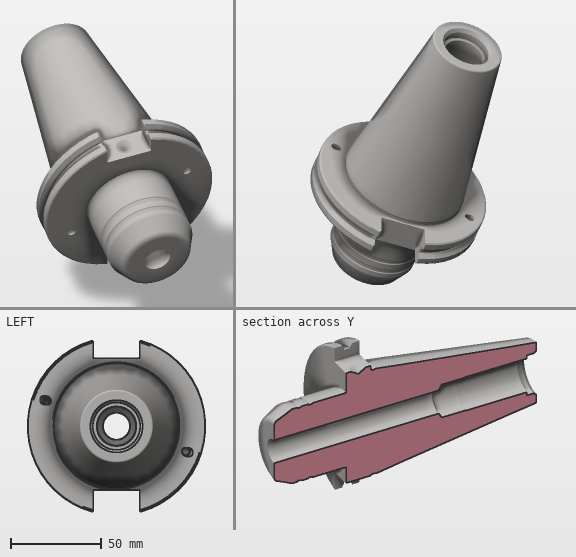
import cadquery as cq
import math


GAUGE_DIAMETER = 69.85
TAPER_LENGTH = 101.6
TAPER_RATE = 7 / 24
TAPER_END_FILLET = 1.0
NECK_DIAMETER = 69.25
NECK_START = 1.0
NECK_FILLET = 0.8

FLANGE_DIAMETER = 98.43
FLANGE_START = 3.175
FLANGE_END = 19.05
FLANGE_FILLET = 1.0
GROOVE_CENTER = 11.1
GROOVE_FLOOR_DIAMETER = 91.2
GROOVE_FLOOR_WIDTH = 4.0
GROOVE_HALF_ANGLE = 30
GROOVE_WALL_HEIGHT = 0.9

SLOT_WIDTH = 25.7
SLOT_CORNER_FILLET = 0.5
SLOT_EDGE_CHAMFER = 0.6
UPPER_SLOT_FLOOR = 37.7
LOWER_SLOT_FLOOR = 35.3
DIMPLE_DIAMETER = 9.53
DRILL_POINT_ANGLE = 118

SHANK_DIAMETER = 49.5
SHANK_END = 64.5
SHANK_ROOT_LENGTH = 1.0
SHANK_ROOT_RISE = 0.2
RING_DIAMETER = 48.5
RING_STARTS = (39.7, 46.7)
RING_WIDTH = 3.4
RING_WALL_RADIUS = 0.5
NOSE_START = 53.1
NOSE_HALF_ANGLE = 25.5
NOSE_EDGE_FILLET = 2.0
NOSE_FILLET = 3.5

THROUGH_DIAMETER = 14.92
THREAD_BORE_DIAMETER = 21.97
THREAD_BORE_DEPTH = 45.0
INNER_BORE_DIAMETER = 21.5
INNER_BORE_DEPTH = 60.0
COUNTERBORE_DIAMETER = 26.2
COUNTERBORE_DEPTH = 6.0
MOUTH_DIAMETER = 29.0
MOUTH_CONE_LENGTH = 2.0

COOLANT_DIAMETER = 4.13
COOLANT_MOUTH_DIAMETER = 5.0
COOLANT_STEP_DEPTH = 3.6
COOLANT_RADIUS = 42.2
COOLANT_POSITION_ANGLE = 20
COOLANT_TILT = 21

CLEARANCE = 5.0


def tan_deg(angle):
    return math.tan(math.radians(angle))


def revolve_about_x(points):
    """Solid of revolution from (x, radius) points."""
    return cq.Workplane("XY").polyline(points).close().revolve(360, (0, 0, 0), (1, 0, 0))


def arc_middle(center, radius, angle):
    """Point on a circle at the given angle in degrees from +X."""
    turn = math.radians(angle)
    return (center[0] + radius * math.cos(turn), center[1] + radius * math.sin(turn))


def make_taper():
    gauge_radius = GAUGE_DIAMETER / 2
    end_radius = gauge_radius - TAPER_LENGTH * TAPER_RATE / 2
    neck_radius = NECK_DIAMETER / 2
    fillet_center = (FLANGE_START - NECK_FILLET, neck_radius + NECK_FILLET)
    taper = (
        cq.Workplane("XY")
        .moveTo(-TAPER_LENGTH, 0)
        .lineTo(-TAPER_LENGTH, end_radius)
        .lineTo(0, gauge_radius)
        .lineTo(NECK_START, neck_radius)
        .lineTo(fillet_center[0], neck_radius)
        .threePointArc(
            arc_middle(fillet_center, NECK_FILLET, -45), (FLANGE_START, fillet_center[1])
        )
        .lineTo(FLANGE_START, 0)
        .close()
        .revolve(360, (0, 0, 0), (1, 0, 0))
    )
    return taper.faces("<X").edges().fillet(TAPER_END_FILLET)


def make_flange():
    radius = FLANGE_DIAMETER / 2
    shoulder = radius - FLANGE_FILLET
    front_center = (FLANGE_START + FLANGE_FILLET, shoulder)
    back_center = (FLANGE_END - FLANGE_FILLET, shoulder)
    floor_radius = GROOVE_FLOOR_DIAMETER / 2
    wall_top = floor_radius + GROOVE_WALL_HEIGHT
    half_floor = GROOVE_FLOOR_WIDTH / 2
    half_mouth = half_floor + (radius - wall_top) * tan_deg(GROOVE_HALF_ANGLE)
    return (
        cq.Workplane("XY")
        .moveTo(FLANGE_START, 0)
        .lineTo(FLANGE_START, shoulder)
        .threePointArc(arc_middle(front_center, FLANGE_FILLET, 135), (front_center[0], radius))
        .lineTo(GROOVE_CENTER - half_mouth, radius)
        .lineTo(GROOVE_CENTER - half_floor, wall_top)
        .lineTo(GROOVE_CENTER - half_floor, floor_radius)
        .lineTo(GROOVE_CENTER + half_floor, floor_radius)
        .lineTo(GROOVE_CENTER + half_floor, wall_top)
        .lineTo(GROOVE_CENTER + half_mouth, radius)
        .lineTo(back_center[0], radius)
        .threePointArc(arc_middle(back_center, FLANGE_FILLET, 45), (FLANGE_END, shoulder))
        .lineTo(FLANGE_END, 0)
        .close()
        .revolve(360, (0, 0, 0), (1, 0, 0))
    )


def add_ring_groove(profile, start):
    """Continue a shank profile through a shallow groove with S-shaped walls."""
    radius = SHANK_DIAMETER / 2
    floor_radius = RING_DIAMETER / 2
    end = start + RING_WIDTH
    depth = radius - floor_radius
    turn = math.degrees(math.acos(1 - depth / (2 * RING_WALL_RADIUS)))
    half_run = RING_WALL_RADIUS * math.sin(math.radians(turn))
    middle_radius = (radius + floor_radius) / 2
    convex_center = radius - RING_WALL_RADIUS
    concave_center = floor_radius + RING_WALL_RADIUS
    floor_start = start + 2 * half_run
    floor_end = end - 2 * half_run

    profile = profile.lineTo(start, radius)
    profile = profile.threePointArc(
        arc_middle((start, convex_center), RING_WALL_RADIUS, 90 - turn / 2),
        (start + half_run, middle_radius),
    )
    profile = profile.threePointArc(
        arc_middle((floor_start, concave_center), RING_WALL_RADIUS, -90 - turn / 2),
        (floor_start, floor_radius),
    )
    profile = profile.lineTo(floor_end, floor_radius)
    profile = profile.threePointArc(
        arc_middle((floor_end, concave_center), RING_WALL_RADIUS, -90 + turn / 2),
        (end - half_run, middle_radius),
    )
    return profile.threePointArc(
        arc_middle((end, convex_center), RING_WALL_RADIUS, 90 + turn / 2),
        (end, radius),
    )


def make_shank():
    radius = SHANK_DIAMETER / 2
    nose_radius = radius - (SHANK_END - NOSE_START) * tan_deg(NOSE_HALF_ANGLE)
    profile = (
        cq.Workplane("XY")
        .moveTo(FLANGE_END, 0)
        .lineTo(FLANGE_END, radius + SHANK_ROOT_RISE)
        .lineTo(FLANGE_END + SHANK_ROOT_LENGTH, radius)
    )
    for start in RING_STARTS:
        profile = add_ring_groove(profile, start)
    profile = profile.lineTo(NOSE_START, radius).lineTo(SHANK_END, nose_radius).lineTo(SHANK_END, 0)
    shank = profile.close().revolve(360, (0, 0, 0), (1, 0, 0))
    nose_edge = cq.selectors.BoxSelector(
        (NOSE_START - NOSE_EDGE_FILLET, -radius, -radius),
        (NOSE_START + NOSE_EDGE_FILLET, radius, radius),
    )
    shank = shank.edges("%CIRCLE").edges(nose_edge).fillet(NOSE_EDGE_FILLET)
    return shank.faces(">X").edges().fillet(NOSE_FILLET)


def make_slot(floor, side):
    """Cutter for a drive slot above (side = 1) or below (side = -1) the axis."""
    half = SLOT_WIDTH / 2
    rim = math.sqrt((FLANGE_DIAMETER / 2) ** 2 - (half + SLOT_EDGE_CHAMFER) ** 2)
    top = rim + CLEARANCE
    length = FLANGE_END - FLANGE_START
    cutter = (
        cq.Workplane("YZ", origin=(FLANGE_START, 0, 0))
        .polyline([
            (-half, floor),
            (half, floor),
            (half, rim - SLOT_EDGE_CHAMFER),
            (half + SLOT_EDGE_CHAMFER + CLEARANCE, top),
            (-half - SLOT_EDGE_CHAMFER - CLEARANCE, top),
            (-half, rim - SLOT_EDGE_CHAMFER),
        ])
        .close()
        .extrude(length)
        .faces("<Z").edges("|X").fillet(SLOT_CORNER_FILLET)
    )
    if side < 0:
        cutter = cutter.mirror("XY")
    return cutter


def make_dimple():
    """Conical drill point in the floor of the upper slot."""
    radius = DIMPLE_DIAMETER / 2
    depth = radius / tan_deg(DRILL_POINT_ANGLE / 2)
    center_x = (FLANGE_START + FLANGE_END) / 2
    cone = cq.Solid.makeCone(0, radius, depth)
    return cq.Workplane(cone).translate((center_x, 0, UPPER_SLOT_FLOOR - depth))


def make_bore():
    through_radius = THROUGH_DIAMETER / 2
    thread_radius = THREAD_BORE_DIAMETER / 2
    counterbore_radius = COUNTERBORE_DIAMETER / 2
    thread_end = -TAPER_LENGTH + THREAD_BORE_DEPTH
    inner_radius = INNER_BORE_DIAMETER / 2
    inner_end = -TAPER_LENGTH + INNER_BORE_DEPTH
    point_length = (inner_radius - through_radius) / tan_deg(DRILL_POINT_ANGLE / 2)
    return revolve_about_x([
        (-TAPER_LENGTH, 0),
        (-TAPER_LENGTH, MOUTH_DIAMETER / 2),
        (-TAPER_LENGTH + MOUTH_CONE_LENGTH, counterbore_radius),
        (-TAPER_LENGTH + COUNTERBORE_DEPTH, counterbore_radius),
        (-TAPER_LENGTH + COUNTERBORE_DEPTH, thread_radius),
        (thread_end, thread_radius),
        (thread_end, inner_radius),
        (inner_end, inner_radius),
        (inner_end + point_length, through_radius),
        (SHANK_END, through_radius),
        (SHANK_END, 0),
    ])


def make_coolant_hole(position_angle):
    """Stepped hole leaning towards the axis, with a straight relief cut down to its step."""
    tilt = math.radians(COOLANT_TILT)
    lean = cq.Vector(math.cos(tilt), -math.sin(tilt), 0)
    mouth_center = cq.Vector(FLANGE_START, COOLANT_RADIUS, 0)
    start = mouth_center - lean * CLEARANCE
    step_center = mouth_center + lean * COOLANT_STEP_DEPTH
    relief_start = cq.Vector(FLANGE_START, step_center.y, 0)
    relief_length = step_center.x - FLANGE_START
    drill_length = (FLANGE_END - step_center.x) / math.cos(tilt) + CLEARANCE
    radius = COOLANT_DIAMETER / 2

    mouth = cq.Solid.makeCylinder(
        COOLANT_MOUTH_DIAMETER / 2, CLEARANCE + COOLANT_STEP_DEPTH, start, lean
    )
    drill = cq.Solid.makeCylinder(radius, drill_length, step_center, lean)
    relief = cq.Solid.makeCylinder(radius, relief_length, relief_start, cq.Vector(1, 0, 0))
    hole = cq.Workplane(mouth).union(cq.Workplane(drill)).union(cq.Workplane(relief))
    return hole.rotate((0, 0, 0), (1, 0, 0), position_angle)


result = make_taper().union(make_flange()).union(make_shank())
result = result.cut(make_slot(UPPER_SLOT_FLOOR, 1)).cut(make_slot(LOWER_SLOT_FLOOR, -1))
result = result.cut(make_dimple()).cut(make_bore())
for half_turn in (0, 180):
    result = result.cut(make_coolant_hole(COOLANT_POSITION_ANGLE + half_turn))